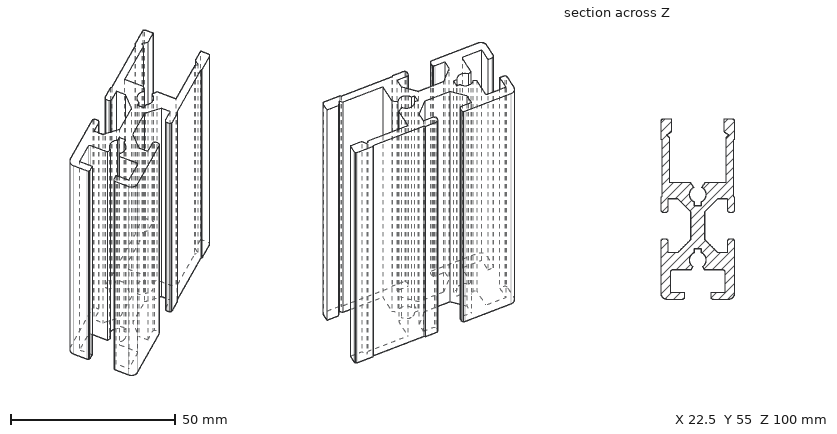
import cadquery as cq
import math

WIDTH = 22.5
DEPTH = 55.0
LENGTH = 100.0
HALF_WIDTH = WIDTH / 2

LOWER_CHANNEL_HALF = 8.25
LOWER_CHANNEL_FLOOR = 9.0
LIP_THICKNESS = 2.2
LIP_GAP_HALF = 4.0
FOOT_RADIUS = 2.0
LOWER_CHANNEL_RADIUS = 0.5

UPPER_CHANNEL_HALF = 8.6
UPPER_CHANNEL_FLOOR = 35.7
WALL_HEAD_HALF = 7.95
WALL_HEAD_BOTTOM = 51.1
NOTCH_TIP_X = 9.4
NOTCH_TIP_Y = 50.1
NOTCH_BOTTOM = NOTCH_TIP_Y - (NOTCH_TIP_X - UPPER_CHANNEL_HALF)

RECESS_DEPTH = 0.3
RECESS_BOTTOM = 31.1
RECESS_TOP = 48.9

GROOVE_CENTER = 22.5
GROOVE_HALF_HEIGHT = 8.15
GROOVE_MOUTH_HALF = 4.0
GROOVE_WALL_X = 9.0
WEB_HALF = 2.2
GROOVE_SLOPE_X = 6.05
SLOPE_RUN = GROOVE_SLOPE_X - WEB_HALF

FOOT_LIP_ROUND = 0.75
TOP_ROUND = 0.7
GROOVE_LIP_ROUND = 0.8
FACETS = 3

BORE_RADIUS = 2.5
RELIEF_HALF = 1.05
LOWER_BORE_Y = 12.0
LOWER_RELIEF_END = 15.4
LOWER_NECK_HALF = 1.5
LOWER_MOUTH_HALF = 2.0
UPPER_BORE_Y = 32.0
UPPER_RELIEF_END = 28.6
UPPER_NECK_HALF = 1.2
UPPER_MOUTH_HALF = 2.3


def prism(points):
    """Full-length prism over a closed polygon."""
    return cq.Workplane("XY").polyline(points).close().extrude(LENGTH)


def block(x_min, x_max, y_min, y_max):
    """Full-length rectangular bar."""
    return prism([(x_min, y_min), (x_max, y_min), (x_max, y_max), (x_min, y_max)])


def symmetric_prism(right_points):
    """Prism over a polygon given by its +X half, listed from one end of the axis to the other."""
    return prism(right_points + [(-x, y) for x, y in reversed(right_points)])


def cut_both_sides(body, cutter):
    """Remove a cutter and its mirror image across X = 0."""
    return body.cut(cutter).cut(cutter.mirror("YZ"))


def edges_at(body, corner):
    """Lengthwise edges through the given corner and its mirror image."""
    x, y = corner
    found = []
    for side in (1, -1):
        nearest = cq.selectors.NearestToPointSelector((side * x, y, LENGTH / 2))
        found += body.edges("|Z").edges(nearest).vals()
    return body.newObject(found)


def lower_channel():
    cavity = block(-LOWER_CHANNEL_HALF, LOWER_CHANNEL_HALF, LIP_THICKNESS, LOWER_CHANNEL_FLOOR)
    return cavity.union(block(-LIP_GAP_HALF, LIP_GAP_HALF, 0, LIP_THICKNESS))


def upper_channel():
    return symmetric_prism([
        (UPPER_CHANNEL_HALF, UPPER_CHANNEL_FLOOR),
        (UPPER_CHANNEL_HALF, NOTCH_BOTTOM),
        (NOTCH_TIP_X, NOTCH_TIP_Y),
        (WALL_HEAD_HALF, WALL_HEAD_BOTTOM),
        (WALL_HEAD_HALF, DEPTH),
    ])


def side_groove():
    bottom = GROOVE_CENTER - GROOVE_HALF_HEIGHT
    top = GROOVE_CENTER + GROOVE_HALF_HEIGHT
    cavity = prism([
        (GROOVE_WALL_X, bottom),
        (GROOVE_WALL_X, top),
        (GROOVE_SLOPE_X, top),
        (WEB_HALF, top - SLOPE_RUN),
        (WEB_HALF, bottom + SLOPE_RUN),
        (GROOVE_SLOPE_X, bottom),
    ])
    mouth_bottom = GROOVE_CENTER - GROOVE_MOUTH_HALF
    mouth_top = GROOVE_CENTER + GROOVE_MOUTH_HALF
    return cavity.union(block(GROOVE_WALL_X, HALF_WIDTH, mouth_bottom, mouth_top))


def screw_channel(bore_y, relief_end, neck_half, mouth_half, mouth_y):
    bore = cq.Workplane("XY").center(0, bore_y).circle(BORE_RADIUS).extrude(LENGTH)
    relief = block(-RELIEF_HALF, RELIEF_HALF, min(bore_y, relief_end), max(bore_y, relief_end))
    neck_offset = math.sqrt(BORE_RADIUS ** 2 - neck_half ** 2)
    neck_y = bore_y + math.copysign(neck_offset, mouth_y - bore_y)
    neck = symmetric_prism([(neck_half, bore_y), (neck_half, neck_y), (mouth_half, mouth_y)])
    return bore.union(relief).union(neck)


def side_recess():
    """Recess outside a wall, with ends sloped at 45 degrees."""
    floor_x = HALF_WIDTH - RECESS_DEPTH
    return prism([
        (HALF_WIDTH, RECESS_BOTTOM),
        (HALF_WIDTH, RECESS_TOP),
        (floor_x, RECESS_TOP - RECESS_DEPTH),
        (floor_x, RECESS_BOTTOM + RECESS_DEPTH),
    ])


def faceted_round(corner, x_inward, y_inward, radius):
    """Waste outside a faceted round; the inward signs point from the corner into the material."""
    corner_x, corner_y = corner
    points = [corner]
    for step in range(FACETS + 1):
        angle = math.pi / 2 * step / FACETS
        points.append((
            corner_x + x_inward * radius * (1 - math.cos(angle)),
            corner_y + y_inward * radius * (1 - math.sin(angle)),
        ))
    return prism(points)


def round_ends(body):
    body = cut_both_sides(body, faceted_round((LIP_GAP_HALF, 0), 1, 1, FOOT_LIP_ROUND))
    body = cut_both_sides(body, faceted_round((HALF_WIDTH, DEPTH), -1, -1, TOP_ROUND))
    for lip_x, x_inward in ((GROOVE_WALL_X, 1), (HALF_WIDTH, -1)):
        for y_inward in (-1, 1):
            corner = (lip_x, GROOVE_CENTER + y_inward * GROOVE_MOUTH_HALF)
            body = cut_both_sides(body, faceted_round(corner, x_inward, y_inward, GROOVE_LIP_ROUND))
    return body


def fillet_lower_channel(body):
    body = edges_at(body, (HALF_WIDTH, 0)).fillet(FOOT_RADIUS)
    return edges_at(body, (LOWER_CHANNEL_HALF, LOWER_CHANNEL_FLOOR)).fillet(LOWER_CHANNEL_RADIUS)


def build_profile():
    body = block(-HALF_WIDTH, HALF_WIDTH, 0, DEPTH)
    body = body.cut(lower_channel()).cut(upper_channel())
    body = cut_both_sides(body, side_groove())
    body = cut_both_sides(body, side_recess())
    body = body.cut(screw_channel(
        LOWER_BORE_Y, LOWER_RELIEF_END, LOWER_NECK_HALF, LOWER_MOUTH_HALF, LOWER_CHANNEL_FLOOR))
    body = body.cut(screw_channel(
        UPPER_BORE_Y, UPPER_RELIEF_END, UPPER_NECK_HALF, UPPER_MOUTH_HALF, UPPER_CHANNEL_FLOOR))
    return fillet_lower_channel(round_ends(body))


result = build_profile().translate((0, -DEPTH / 2, -LENGTH / 2))